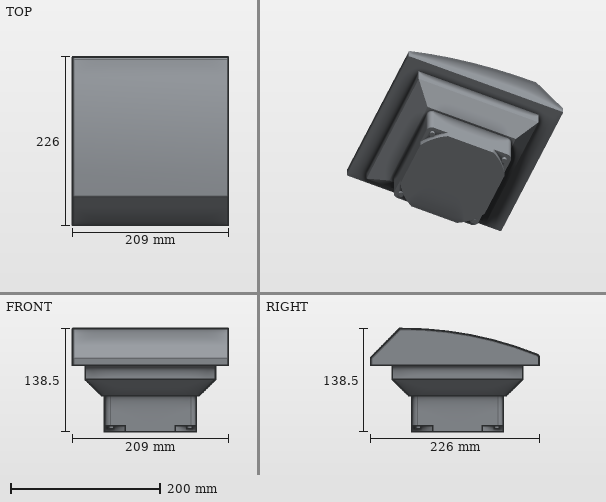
import cadquery as cq

FOOT_HEIGHT = 8.0
NECK_TOP = 48.0
FUNNEL_TOP = 70.5
COLLAR_TOP = 89.0
TOTAL_HEIGHT = 138.5

NECK_SIDE = 123.0
NECK_CORNER_RADIUS = 7.5
FOOT_DISC_RADIUS = 70.0
PEG_RADIUS = 3.5
PEG_LENGTH = 4.0
PEG_OFFSET = 52.5

COLLAR_SIDE = 175.0
FUNNEL_BOTTOM_SIDE = 129.0

CAP_WIDTH = 209.0
CAP_DEPTH = 226.0
CAP_FORWARD_SHIFT = 3.5
CAP_FRONT_TOP = 99.0
CAP_BACK_TOP = 102.5
CAP_ARCH_RADIUS = 485.0
CAP_EDGE_RADIUS = 1.5
CAP_RIDGE_RADIUS = 2.0
CAP_BACK_RADIUS = 5.0
CAP_SLOPE_RUN = 39.0


def make_neck():
    """Square block with rounded upright corners."""
    return (
        cq.Workplane("XY", origin=(0, 0, FOOT_HEIGHT))
        .rect(NECK_SIDE, NECK_SIDE)
        .extrude(NECK_TOP - FOOT_HEIGHT)
        .edges("|Z")
        .fillet(NECK_CORNER_RADIUS)
    )


def make_foot():
    """Square pad whose corners are trimmed by one large disc."""
    disc = cq.Workplane("XY").circle(FOOT_DISC_RADIUS).extrude(FOOT_HEIGHT)
    square = cq.Workplane("XY").rect(NECK_SIDE, NECK_SIDE).extrude(FOOT_HEIGHT)
    return square.intersect(disc)


def make_pegs():
    """Short pegs hanging from the neck at the four trimmed corners."""
    return (
        cq.Workplane("XY", origin=(0, 0, FOOT_HEIGHT - PEG_LENGTH))
        .rect(2 * PEG_OFFSET, 2 * PEG_OFFSET, forConstruction=True)
        .vertices()
        .circle(PEG_RADIUS)
        .extrude(PEG_LENGTH)
    )


def make_funnel():
    """Square frustum widening from the neck to the collar."""
    return (
        cq.Workplane("XY", origin=(0, 0, NECK_TOP))
        .rect(FUNNEL_BOTTOM_SIDE, FUNNEL_BOTTOM_SIDE)
        .workplane(offset=FUNNEL_TOP - NECK_TOP)
        .rect(COLLAR_SIDE, COLLAR_SIDE)
        .loft(ruled=True)
    )


def make_collar():
    """Square block between the funnel and the cap."""
    return (
        cq.Workplane("XY", origin=(0, 0, FUNNEL_TOP))
        .rect(COLLAR_SIDE, COLLAR_SIDE)
        .extrude(COLLAR_TOP - FUNNEL_TOP)
    )


def make_cap():
    """Arched cover with a sloped front, rounded on all edges but the lower rim."""
    front = -CAP_DEPTH / 2 - CAP_FORWARD_SHIFT
    back = front + CAP_DEPTH
    ridge = front + CAP_SLOPE_RUN
    cap = (
        cq.Workplane("YZ", origin=(-CAP_WIDTH / 2, 0, 0))
        .moveTo(front, COLLAR_TOP)
        .lineTo(front, CAP_FRONT_TOP)
        .lineTo(ridge, TOTAL_HEIGHT)
        .radiusArc((back, CAP_BACK_TOP), CAP_ARCH_RADIUS)
        .lineTo(back, COLLAR_TOP)
        .close()
        .extrude(CAP_WIDTH)
    )
    cap = cap.edges("|X and >Y and (not <Z)").fillet(CAP_BACK_RADIUS)
    cap = cap.edges(cq.NearestToPointSelector((0, ridge, TOTAL_HEIGHT))).fillet(CAP_RIDGE_RADIUS)
    return cap.edges("not(<Z)").fillet(CAP_EDGE_RADIUS)


result = (
    make_neck()
    .union(make_foot())
    .union(make_pegs())
    .union(make_funnel())
    .union(make_collar())
    .union(make_cap())
)